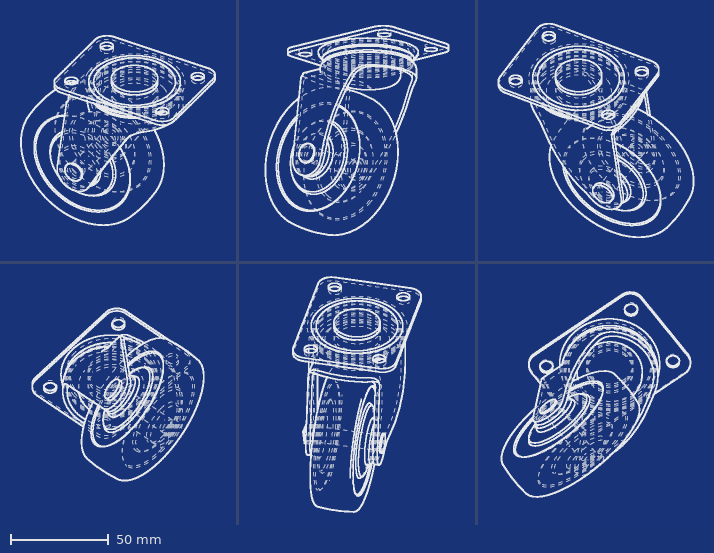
import cadquery as cq
import math


PLATE_LENGTH = 70.0
PLATE_WIDTH = 54.0
PLATE_TOP = 55.6
PLATE_THICKNESS = 2.2
PLATE_CORNER = 7.0
BOLT_SPACING_X = 53.9
BOLT_SPACING_Y = 36.1
BOLT_DIAMETER = 6.6
DISH_DEPTH = 2.0
DISH_EDGE_RADIUS = 4.0
DISH_OUTER = 27.0
HUMP_OUTER = 17.5
HUMP_INNER = 16.0
FUNNEL_RADIUS = 4.8
DISH_BOSS_RADIUS = 25.6
DISH_BOSS_ROUND = 1.9

SWIVEL_X = 25.0
STEM_RADIUS = 11.9
RING_TOP_RADIUS = 21.4
RING_SHOULDER_RADIUS = 23.3
RING_LIP_RADIUS = 23.6
RING_WAIST_RADIUS = 22.9
RING_SHOULDER = 50.2
RING_LIP = 49.6
RING_WAIST_TOP = 47.8
FLANGE_RADIUS = 16.7
FLANGE_BOTTOM = 36.9
FLANGE_ROUND = 4.7
FLANGE_ROUND_HEIGHT = 3.9

SHEET = 2.2
DRUM_RADIUS = 24.8
DRUM_TOP = 46.8
DRUM_ROUND = 2.8
DRUM_BOTTOM = 39.3
LEG_HALF_WIDTH = 18.8
LEG_BEND_RADIUS = 4.9
DECK_TOP = 44.9
DECK_THICKNESS = 2.7
FLARE_RADIUS = 7.8
LEG_END_RADIUS = 10.0
LEG_END_Z = -1.7
LEG_FRONT_X = -4.3
LEG_BACK_X = 33.4
LEG_BACK_Z = 34.5
WEB_RADIUS = 10.0
DECK_NOSE_X = -6.9
DECK_NOSE_RADIUS = 56.55

WHEEL_RADIUS = 37.5
WHEEL_HALF_WIDTH = 10.4
TREAD_HALF_WIDTH = 9.3
TREAD_EDGE_RADIUS = 37.0
FACE_RADIUS = 35.1
SHOULDER_MID_RADIUS = 36.5
SHOULDER_MID_Y = 10.1
RECESS_DEPTH = 0.7
RECESS_OUTER = 28.6
RECESS_FLOOR = 27.9
HUB_BASE_RADIUS = 19.5
CONE_RADIUS = 18.5
CONE_START_Y = 10.9
CONE_END_Y = 12.7
BOSS_BASE_RADIUS = 12.2
BOSS_END_RADIUS = 11.4
BOSS_END_Y = 14.7

AXLE_RADIUS = 4.0
FRONT_HEAD_RADIUS = 5.1
FRONT_HEAD_HEIGHT = 0.8
FRONT_CONE_HEIGHT = 1.2
BACK_HEAD_RADIUS = 5.8
BACK_HEAD_HEIGHT = 1.9
BACK_CONE_HEIGHT = 1.95

MARGIN = 1.0

DISH_FLOOR = PLATE_TOP - DISH_DEPTH
PLATE_BOTTOM = PLATE_TOP - PLATE_THICKNESS
DISH_UNDERSIDE = DISH_FLOOR - PLATE_THICKNESS
DRUM_UNDERSIDE = DRUM_TOP - SHEET
DECK_UNDERSIDE = DECK_TOP - DECK_THICKNESS


def on_swivel_axis(shape):
    return shape.translate((SWIVEL_X, 0, 0))


def rounded_edge(start_radius, arc_radius, turn):
    """Middle and end of an arc that leaves the flat plate top at start_radius and curves down.

    A positive arc_radius runs outwards and a negative one runs inwards.
    """
    return [
        (
            start_radius + arc_radius * math.sin(angle),
            PLATE_TOP - abs(arc_radius) * (1 - math.cos(angle)),
        )
        for angle in (turn / 2, turn)
    ]


def make_plate():
    plate = (
        cq.Workplane("XY", origin=(0, 0, PLATE_BOTTOM))
        .rect(PLATE_LENGTH, PLATE_WIDTH)
        .extrude(PLATE_THICKNESS)
        .edges("|Z")
        .fillet(PLATE_CORNER)
    )
    holes = (
        cq.Workplane("XY", origin=(0, 0, PLATE_BOTTOM))
        .rect(BOLT_SPACING_X, BOLT_SPACING_Y, forConstruction=True)
        .vertices()
        .circle(BOLT_DIAMETER / 2)
        .extrude(PLATE_THICKNESS)
    )
    boss = (
        cq.Workplane("XY", origin=(0, 0, DISH_UNDERSIDE))
        .circle(DISH_BOSS_RADIUS)
        .extrude(PLATE_TOP - DISH_UNDERSIDE)
        .faces("<Z")
        .edges()
        .fillet(DISH_BOSS_ROUND)
    )
    groove_turn = math.acos(1 - DISH_DEPTH / DISH_EDGE_RADIUS)
    outer_mid, outer_end = rounded_edge(DISH_OUTER, -DISH_EDGE_RADIUS, groove_turn)
    hump_mid, hump_end = rounded_edge(HUMP_OUTER, DISH_EDGE_RADIUS, groove_turn)
    groove = (
        cq.Workplane("XZ")
        .moveTo(DISH_OUTER, PLATE_TOP)
        .threePointArc(outer_mid, outer_end)
        .lineTo(*hump_end)
        .threePointArc(hump_mid, (HUMP_OUTER, PLATE_TOP))
        .close()
        .revolve(360, (0, 0, 0), (0, 1, 0))
    )
    funnel_turn = math.asin((HUMP_INNER - STEM_RADIUS) / FUNNEL_RADIUS)
    funnel_middle, funnel_end = rounded_edge(HUMP_INNER, -FUNNEL_RADIUS, funnel_turn)
    funnel = (
        cq.Workplane("XZ")
        .moveTo(0, PLATE_TOP)
        .lineTo(HUMP_INNER, PLATE_TOP)
        .threePointArc(funnel_middle, funnel_end)
        .lineTo(STEM_RADIUS, DISH_UNDERSIDE)
        .lineTo(0, DISH_UNDERSIDE)
        .close()
        .revolve(360, (0, 0, 0), (0, 1, 0))
    )
    return on_swivel_axis(plate.union(boss).cut(holes).cut(groove).cut(funnel))


def make_swivel_pin():
    """Pin with the bearing ring above the fork and the rounded flange below it."""
    turn = math.acos(1 - FLANGE_ROUND_HEIGHT / FLANGE_ROUND)
    flat_radius = FLANGE_RADIUS - FLANGE_ROUND * math.sin(turn)
    round_middle = (
        flat_radius + FLANGE_ROUND * math.sin(turn / 2),
        FLANGE_BOTTOM + FLANGE_ROUND * (1 - math.cos(turn / 2)),
    )
    pin = (
        cq.Workplane("XZ")
        .moveTo(0, PLATE_TOP)
        .lineTo(STEM_RADIUS, PLATE_TOP)
        .lineTo(STEM_RADIUS, DISH_UNDERSIDE)
        .lineTo(RING_TOP_RADIUS, DISH_UNDERSIDE)
        .lineTo(RING_SHOULDER_RADIUS, RING_SHOULDER)
        .lineTo(RING_LIP_RADIUS, RING_LIP)
        .lineTo(RING_WAIST_RADIUS, RING_WAIST_TOP)
        .lineTo(RING_WAIST_RADIUS, DRUM_TOP)
        .lineTo(STEM_RADIUS, DRUM_TOP)
        .lineTo(STEM_RADIUS, DRUM_UNDERSIDE)
        .lineTo(FLANGE_RADIUS, DRUM_UNDERSIDE)
        .lineTo(FLANGE_RADIUS, FLANGE_BOTTOM + FLANGE_ROUND_HEIGHT)
        .threePointArc(round_middle, (flat_radius, FLANGE_BOTTOM))
        .lineTo(0, FLANGE_BOTTOM)
        .close()
        .revolve(360, (0, 0, 0), (0, 1, 0))
    )
    return on_swivel_axis(pin)


def fork_envelope(inset, deck_z):
    """Solid inside the fork's outer skin moved inwards by the inset, with its deck at deck_z."""
    bottom = LEG_END_Z - LEG_END_RADIUS - MARGIN
    front = -2 * LEG_END_RADIUS
    half_width = LEG_HALF_WIDTH - inset
    drum_radius = DRUM_RADIUS - inset
    flare = FLARE_RADIUS + inset
    drum = (
        cq.Workplane("XY", origin=(SWIVEL_X, 0, bottom))
        .circle(drum_radius)
        .extrude(DRUM_TOP - inset - bottom)
        .faces(">Z")
        .edges()
        .fillet(DRUM_ROUND - inset)
    )
    flare_y = half_width + flare
    flare_x = SWIVEL_X - math.sqrt((drum_radius + flare) ** 2 - flare_y**2)
    turn = math.acos(flare_y / (drum_radius + flare))
    end = (flare_x + flare * math.sin(turn), flare_y - flare * math.cos(turn))
    mid = (flare_x + flare * math.sin(turn / 2), flare_y - flare * math.cos(turn / 2))
    legs = (
        cq.Workplane("XY", origin=(0, 0, bottom))
        .moveTo(front, half_width)
        .lineTo(flare_x, half_width)
        .threePointArc(mid, end)
        .lineTo(end[0], -end[1])
        .threePointArc((mid[0], -mid[1]), (flare_x, -half_width))
        .lineTo(front, -half_width)
        .close()
        .extrude(deck_z - bottom)
        .faces(">Z")
        .edges("not |Y")
        .fillet(LEG_BEND_RADIUS - inset)
    )
    return drum.union(legs)


def tangent_from(x, z, side):
    """Point where a line from (x, z) touches the round leg end, on its -X (-1) or +X (1) side."""
    distance = math.hypot(x, z - LEG_END_Z)
    angle = math.atan2(z - LEG_END_Z, x) - side * math.acos(LEG_END_RADIUS / distance)
    return (LEG_END_RADIUS * math.cos(angle), LEG_END_Z + LEG_END_RADIUS * math.sin(angle))


def fork_side_outline():
    """Side outline of the fork, extruded across its full width."""
    front = tangent_from(LEG_FRONT_X, DECK_UNDERSIDE, -1)
    back = tangent_from(LEG_BACK_X, LEG_BACK_Z, 1)
    slope = math.atan2(LEG_BACK_Z - back[1], LEG_BACK_X - back[0])
    web_corner_x = LEG_BACK_X + (DRUM_BOTTOM - LEG_BACK_Z) / math.tan(slope)
    web_length = WEB_RADIUS * math.tan(slope / 2)
    web_x = web_corner_x + web_length
    web_start = (
        web_corner_x - web_length * math.cos(slope),
        DRUM_BOTTOM - web_length * math.sin(slope),
    )
    web_mid = (
        web_x - WEB_RADIUS * math.sin(slope / 2),
        DRUM_BOTTOM - WEB_RADIUS * (1 - math.cos(slope / 2)),
    )
    back_x = SWIVEL_X + DRUM_RADIUS + MARGIN
    top = DRUM_TOP + MARGIN
    return (
        cq.Workplane("XZ")
        .moveTo(DECK_NOSE_X, DECK_UNDERSIDE)
        .lineTo(LEG_FRONT_X, DECK_UNDERSIDE)
        .lineTo(*front)
        .threePointArc((0, LEG_END_Z - LEG_END_RADIUS), back)
        .lineTo(*web_start)
        .threePointArc(web_mid, (web_x, DRUM_BOTTOM))
        .lineTo(back_x, DRUM_BOTTOM)
        .lineTo(back_x, top)
        .lineTo(DECK_NOSE_X, top)
        .close()
        .extrude(DRUM_RADIUS + MARGIN, both=True)
    )


def make_fork():
    fork = fork_envelope(0, DECK_TOP)
    fork = fork.cut(fork_envelope(SHEET, DECK_UNDERSIDE)).intersect(fork_side_outline())
    nose_box = (
        cq.Workplane("XY", origin=(DECK_NOSE_X, 0, DECK_UNDERSIDE))
        .rect(LEG_HALF_WIDTH, 2 * LEG_HALF_WIDTH)
        .extrude(DECK_THICKNESS)
    )
    bow = (
        cq.Workplane("XY", origin=(DECK_NOSE_X + DECK_NOSE_RADIUS, 0, DECK_UNDERSIDE))
        .circle(DECK_NOSE_RADIUS)
        .extrude(DECK_THICKNESS)
    )
    pin_hole = on_swivel_axis(
        cq.Workplane("XY", origin=(0, 0, DRUM_UNDERSIDE)).circle(STEM_RADIUS).extrude(SHEET)
    )
    axle_hole = cq.Workplane("XZ").circle(AXLE_RADIUS).extrude(LEG_HALF_WIDTH, both=True)
    return fork.cut(nose_box.cut(bow)).cut(pin_hole).cut(axle_hole)


def make_wheel():
    side_profile = [
        (FACE_RADIUS, WHEEL_HALF_WIDTH),
        (RECESS_OUTER, WHEEL_HALF_WIDTH),
        (RECESS_FLOOR, WHEEL_HALF_WIDTH - RECESS_DEPTH),
        (HUB_BASE_RADIUS, WHEEL_HALF_WIDTH - RECESS_DEPTH),
        (CONE_RADIUS, CONE_START_Y),
        (BOSS_BASE_RADIUS, CONE_END_Y),
        (BOSS_END_RADIUS, BOSS_END_Y),
        (AXLE_RADIUS, BOSS_END_Y),
    ]
    mirrored = [(r, -y) for r, y in reversed(side_profile)]
    return (
        cq.Workplane("XY")
        .polyline(mirrored)
        .threePointArc((SHOULDER_MID_RADIUS, -SHOULDER_MID_Y), (TREAD_EDGE_RADIUS, -TREAD_HALF_WIDTH))
        .threePointArc((WHEEL_RADIUS, 0), (TREAD_EDGE_RADIUS, TREAD_HALF_WIDTH))
        .threePointArc((SHOULDER_MID_RADIUS, SHOULDER_MID_Y), side_profile[0])
        .polyline(side_profile[1:], includeCurrent=True)
        .close()
        .revolve(360, (0, 0, 0), (0, 1, 0))
    )


def make_axle():
    """Shaft with a flat conical head on the outside of each leg."""
    front_rim = LEG_HALF_WIDTH + FRONT_HEAD_HEIGHT
    back_rim = LEG_HALF_WIDTH + BACK_HEAD_HEIGHT
    return (
        cq.Workplane("XY")
        .moveTo(0, -front_rim - FRONT_CONE_HEIGHT)
        .lineTo(FRONT_HEAD_RADIUS, -front_rim)
        .lineTo(FRONT_HEAD_RADIUS, -LEG_HALF_WIDTH)
        .lineTo(AXLE_RADIUS, -LEG_HALF_WIDTH)
        .lineTo(AXLE_RADIUS, LEG_HALF_WIDTH)
        .lineTo(BACK_HEAD_RADIUS, LEG_HALF_WIDTH)
        .lineTo(BACK_HEAD_RADIUS, back_rim)
        .lineTo(0, back_rim + BACK_CONE_HEIGHT)
        .close()
        .revolve(360, (0, 0, 0), (0, 1, 0))
    )


plate = make_plate()
swivel_pin = make_swivel_pin()
fork = make_fork()
wheel = make_wheel()
axle = make_axle()

result = cq.Compound.makeCompound(
    [plate.val(), swivel_pin.val(), fork.val(), wheel.val(), axle.val()]
)